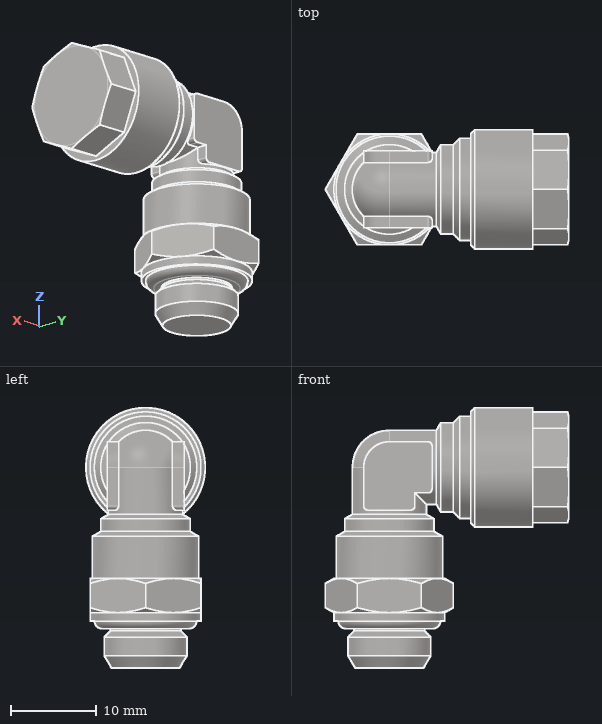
import cadquery as cq
import math

shoulder_slope = math.tan(math.radians(30))

tube_diameter = 8.7
tube_length = 5.5
collar_diameter = 10.5
collar_end = 7.5
socket_diameter = 12.0
socket_end = 9.5

pad_width = 9.0
pad_half_height = 3.0
pad_reach = 5.0
pad_corner_radius = 0.5

sleeve_diameter = 14.0
sleeve_chamfer = 0.5
sleeve_length = 7.3
grip_sides = 8
grip_corner_diameter = 13.0
grip_end = 21.0
grip_chamfer_slope = math.tan(math.radians(15))

swivel_diameter = 12.5
hex_sides = 6
hex_across_flats = 13.0
hex_top = -13.0
hex_bottom = hex_top - 4.0
flange_bottom = hex_bottom - 1.0
neck_diameter = 8.3
neck_end = -19.15
thread_diameter = 9.73
thread_taper_start = -22.05
thread_tip_diameter = 8.0
stud_end = -23.5

seal_diameter = 12.0
seal_thickness = 0.9
seal_face_diameter = 10.1


def corner_diameter(across_flats, sides):
    return across_flats / math.cos(math.pi / sides)


def shoulder_length(small_diameter, large_diameter):
    return (large_diameter - small_diameter) / 2 * shoulder_slope


def turned_about_x(outline):
    """Revolve (x, radius) points about the X axis."""
    return cq.Workplane("XY").polyline(outline).close().revolve(360, (0, 0, 0), (1, 0, 0))


def turned_about_z(outline):
    """Revolve (radius, z) points about the Z axis."""
    return cq.Workplane("XZ").polyline(outline).close().revolve(360, (0, 0, 0), (0, 1, 0))


def make_pads():
    """L-shaped block through the elbow whose two sides stand proud as wrench pads."""
    pads = (
        cq.Workplane("XZ")
        .moveTo(0, pad_half_height)
        .lineTo(pad_reach, pad_half_height)
        .lineTo(pad_reach, -pad_half_height)
        .lineTo(pad_half_height, -pad_half_height)
        .lineTo(pad_half_height, -pad_reach)
        .lineTo(-pad_half_height, -pad_reach)
        .lineTo(-pad_half_height, 0)
        .radiusArc((0, pad_half_height), pad_half_height)
        .close()
        .extrude(pad_width / 2, both=True)
    )
    for end_face in (">X", "<Z"):
        pads = pads.faces(end_face).edges("|Y").fillet(pad_corner_radius)
    return pads


def make_elbow():
    tube_radius = tube_diameter / 2
    collar_radius = collar_diameter / 2
    socket_radius = socket_diameter / 2
    collar_start = tube_length + shoulder_length(tube_diameter, collar_diameter)
    socket_start = collar_end + socket_radius - collar_radius

    arm_outline = [
        (0, 0),
        (0, tube_radius),
        (tube_length, tube_radius),
        (collar_start, collar_radius),
        (collar_end, collar_radius),
    ]
    socket_outline = [
        (socket_start, socket_radius),
        (socket_end, socket_radius),
        (socket_end, 0),
    ]
    port_arm = turned_about_x(arm_outline + socket_outline)
    stud_arm = turned_about_z([(radius, -along) for along, radius in arm_outline + [(collar_end, 0)]])
    corner_ball = cq.Workplane("XY").sphere(tube_radius)
    return corner_ball.union(port_arm).union(stud_arm).union(make_pads())


def make_sleeve():
    sleeve_radius = sleeve_diameter / 2
    sleeve_end = socket_end + sleeve_length
    barrel = turned_about_x([
        (socket_end, 0),
        (socket_end, sleeve_radius - sleeve_chamfer),
        (socket_end + sleeve_chamfer, sleeve_radius),
        (sleeve_end, sleeve_radius),
        (sleeve_end, 0),
    ])
    grip = (
        cq.Workplane("YZ")
        .workplane(offset=sleeve_end)
        .polygon(grip_sides, grip_corner_diameter)
        .extrude(grip_end - sleeve_end)
    )
    corner_radius = grip_corner_diameter / 2
    flat_radius = corner_radius * math.cos(math.pi / grip_sides)
    corner_drop = (corner_radius - flat_radius) * grip_chamfer_slope
    chamfer_envelope = turned_about_x([
        (sleeve_end, 0),
        (sleeve_end, corner_radius),
        (grip_end - corner_drop, corner_radius),
        (grip_end, flat_radius),
        (grip_end, 0),
    ])
    return barrel.union(grip.intersect(chamfer_envelope))


def make_stud_hex():
    """Hexagon with its corners chamfered at both ends."""
    flat_radius = hex_across_flats / 2
    corner_radius = corner_diameter(hex_across_flats, hex_sides) / 2
    corner_drop = (corner_radius - flat_radius) * shoulder_slope
    prism = (
        cq.Workplane("XY")
        .workplane(offset=hex_bottom)
        .polygon(hex_sides, 2 * corner_radius)
        .extrude(hex_top - hex_bottom)
    )
    chamfer_envelope = turned_about_z([
        (0, hex_bottom),
        (flat_radius, hex_bottom),
        (corner_radius, hex_bottom + corner_drop),
        (corner_radius, hex_top - corner_drop),
        (flat_radius, hex_top),
        (0, hex_top),
    ])
    return prism.intersect(chamfer_envelope)


def make_stud():
    collar_radius = collar_diameter / 2
    swivel_radius = swivel_diameter / 2
    flange_radius = hex_across_flats / 2
    neck_radius = neck_diameter / 2
    thread_radius = thread_diameter / 2
    thread_top = neck_end - (thread_radius - neck_radius)
    turned_body = turned_about_z([
        (0, -collar_end),
        (collar_radius, -collar_end),
        (swivel_radius, -collar_end - shoulder_length(collar_diameter, swivel_diameter)),
        (swivel_radius, hex_bottom),
        (flange_radius, hex_bottom),
        (flange_radius, flange_bottom),
        (neck_radius, flange_bottom),
        (neck_radius, neck_end),
        (thread_radius, thread_top),
        (thread_radius, thread_taper_start),
        (thread_tip_diameter / 2, stud_end),
        (0, stud_end),
    ])
    return turned_body.union(make_stud_hex())


def make_seal():
    """Ring under the flange, its outer rim rounded over the full thickness."""
    neck_radius = neck_diameter / 2
    seal_radius = seal_diameter / 2
    face_radius = seal_face_diameter / 2
    seal_bottom = flange_bottom - seal_thickness
    return (
        cq.Workplane("XZ")
        .moveTo(neck_radius, flange_bottom)
        .lineTo(seal_radius, flange_bottom)
        .radiusArc((face_radius, seal_bottom), seal_radius - face_radius)
        .lineTo(neck_radius, seal_bottom)
        .close()
        .revolve(360, (0, 0, 0), (0, 1, 0))
    )


elbow = make_elbow()
sleeve = make_sleeve()
stud = make_stud()
seal = make_seal()

result = cq.Compound.makeCompound([elbow.val(), sleeve.val(), stud.val(), seal.val()])